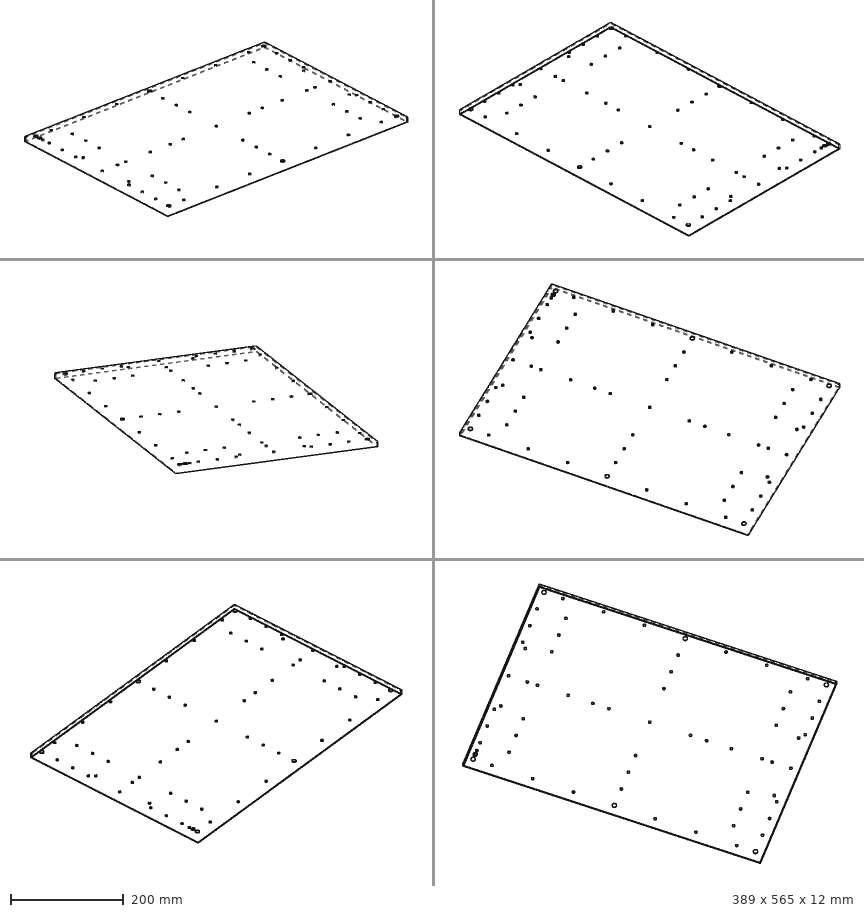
import cadquery as cq
WIDTH = 389.0
LENGTH = 565.0
HEIGHT = 12.0
SHEET_THICKNESS = 2.0
BEND_RADIUS = 4.0
INNER_BEND_RADIUS = BEND_RADIUS - SHEET_THICKNESS
CORNER_RADIUS = 0.5

MOUNTING_DIAMETER = 8.0
SMALL_DIAMETER = 4.5
LOCATOR_DIAMETER = 4.0
LOCATOR_RECESS_DIAMETER = 8.0
LOCATOR_RECESS_DEPTH = SHEET_THICKNESS / 2

EDGE_COLUMN = 180.0
INNER_COLUMN = 72.5
COLUMN_PITCH = 36.0
INNER_COLUMNS = [INNER_COLUMN + i * COLUMN_PITCH for i in range(3)]
OFFSET_COLUMN = 62.0

END_ROW = 268.0
OFFSET_ROW = 259.5
SECOND_ROW = 213.0
CENTRE_EXTRA_ROW = 108.0
EDGE_ROW_PITCH = 77.5
EDGE_ROWS = [EDGE_ROW_PITCH * i for i in range(1, 4)]

LOCATOR_SPACING = 10.0
PILOT_SPACING = 18.5


def mirrored(distances):
    """Return every distance on both sides of the centre."""
    return [sign * distance for distance in distances for sign in (-1, 1)]


def grid(columns, rows):
    """Return a point at every crossing of the columns and rows."""
    return [(x, y) for x in columns for y in rows]


def block(width, length, height, corner_radius, top_radius):
    """Return a block standing on the XY plane with rounded corners and rounded top edges."""
    solid = cq.Workplane("XY").box(width, length, height, centered=(True, True, False))
    solid = solid.edges("|Z").fillet(corner_radius)
    return solid.faces(">Z").edges().fillet(top_radius)


def drill(plate, points, diameter, floor=0):
    """Cut a hole down from the top sheet to the floor height at every point."""
    cutters = cq.Workplane("XY").workplane(offset=floor).pushPoints(points).circle(diameter / 2).extrude(HEIGHT)
    return plate.cut(cutters)


outer = block(WIDTH, LENGTH, HEIGHT, CORNER_RADIUS, BEND_RADIUS)
hollow = block(
    WIDTH - 2 * SHEET_THICKNESS,
    LENGTH - 2 * SHEET_THICKNESS,
    HEIGHT - SHEET_THICKNESS,
    CORNER_RADIUS,
    INNER_BEND_RADIUS,
)
tray = outer.cut(hollow)

mounting_points = grid(mirrored([EDGE_COLUMN]), [0] + mirrored([END_ROW]))

small_points = grid(mirrored(INNER_COLUMNS), [0] + mirrored([SECOND_ROW, END_ROW]))
small_points += grid(mirrored([EDGE_COLUMN]), mirrored(EDGE_ROWS))
small_points += grid([0], [0] + mirrored(EDGE_ROWS + [CENTRE_EXTRA_ROW, SECOND_ROW, END_ROW]))
small_points += grid(mirrored([OFFSET_COLUMN]), mirrored([OFFSET_ROW]))

locator_point = (LOCATOR_SPACING - EDGE_COLUMN, -END_ROW)
pilot_point = (PILOT_SPACING - EDGE_COLUMN, -END_ROW)

tray = drill(tray, mounting_points, MOUNTING_DIAMETER)
tray = drill(tray, small_points + [pilot_point], SMALL_DIAMETER)
tray = drill(tray, [locator_point], LOCATOR_DIAMETER)
tray = drill(tray, [locator_point], LOCATOR_RECESS_DIAMETER, HEIGHT - LOCATOR_RECESS_DEPTH)

result = tray